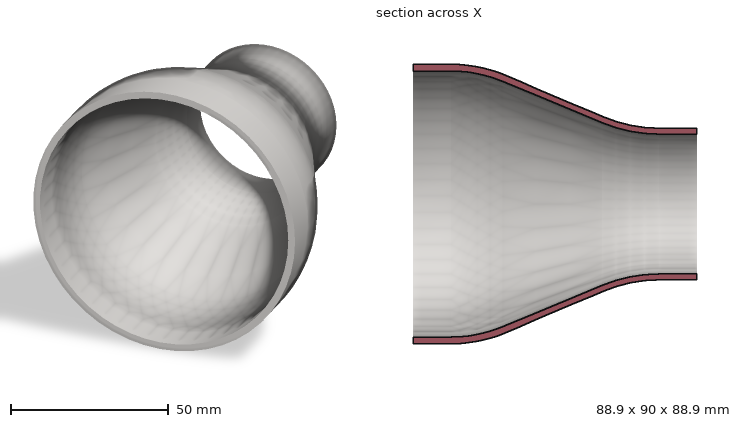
import cadquery as cq
import math

length = 90.0
collar_length = 12.0
outer_bend_radius = 45.0
wide_outer_diameter = 88.9
wide_inner_diameter = 84.3
narrow_outer_diameter = 48.3
narrow_inner_diameter = 44.3

wide_wall = (wide_outer_diameter - wide_inner_diameter) / 2
narrow_wall = (narrow_outer_diameter - narrow_inner_diameter) / 2


def solid_of_revolution(wide_diameter, narrow_diameter, wide_bend, narrow_bend):
    """Solid with two collars joined by a cone through tangent arcs."""
    wide_radius = wide_diameter / 2
    narrow_radius = narrow_diameter / 2
    taper_length = length - 2 * collar_length

    bend_sum = wide_bend + narrow_bend
    across = bend_sum - (wide_radius - narrow_radius)
    reach = math.hypot(across, taper_length)
    cone_angle = math.atan2(taper_length, across) - math.acos(bend_sum / reach)

    def on_wide_arc(angle):
        inward = wide_bend * (1 - math.cos(angle))
        return wide_radius - inward, collar_length + wide_bend * math.sin(angle)

    def on_narrow_arc(angle):
        outward = narrow_bend * (1 - math.cos(angle))
        return narrow_radius + outward, length - collar_length - narrow_bend * math.sin(angle)

    return (
        cq.Workplane("XY")
        .moveTo(0, 0)
        .lineTo(wide_radius, 0)
        .lineTo(*on_wide_arc(0))
        .threePointArc(on_wide_arc(cone_angle / 2), on_wide_arc(cone_angle))
        .lineTo(*on_narrow_arc(cone_angle))
        .threePointArc(on_narrow_arc(cone_angle / 2), on_narrow_arc(0))
        .lineTo(narrow_radius, length)
        .lineTo(0, length)
        .close()
        .revolve(360, (0, 0, 0), (0, 1, 0))
    )


outer_body = solid_of_revolution(
    wide_outer_diameter, narrow_outer_diameter, outer_bend_radius, outer_bend_radius
)

bore = solid_of_revolution(
    wide_inner_diameter,
    narrow_inner_diameter,
    outer_bend_radius - wide_wall,
    outer_bend_radius + narrow_wall,
)

result = outer_body.cut(bore)